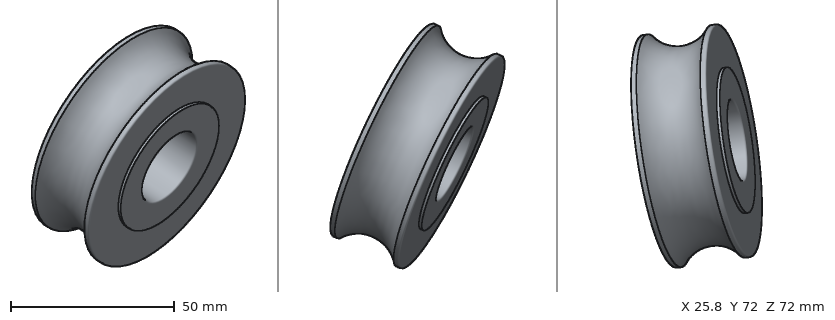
import cadquery as cq

outer_diameter = 72.0
rim_width = 23.75
hub_diameter = 45.0
hub_width = 25.8
bore_diameter = 25.0
rim_fillet = 0.6
bore_fillet = 0.6
groove_radius = 12.5
groove_depth = 5.05
groove_center_radius = outer_diameter / 2 - groove_depth + groove_radius


def centered_disc(diameter, width):
    """Disc along X, centred on the origin."""
    return cq.Workplane("YZ").circle(diameter / 2).extrude(width / 2, both=True)


def groove_ring():
    """Round ring that cuts the concave running groove."""
    return (
        cq.Workplane("XY")
        .center(0, groove_center_radius)
        .circle(groove_radius)
        .revolve(360, (0, -groove_center_radius), (1, -groove_center_radius))
    )


rim = centered_disc(outer_diameter, rim_width).edges().fillet(rim_fillet)
hub = centered_disc(hub_diameter, hub_width)
bore = centered_disc(bore_diameter, hub_width)
body = rim.union(hub).cut(bore)

bore_mouths = body.faces("<X or >X").edges(cq.selectors.RadiusNthSelector(0))
roller = bore_mouths.fillet(bore_fillet)

result = roller.cut(groove_ring())